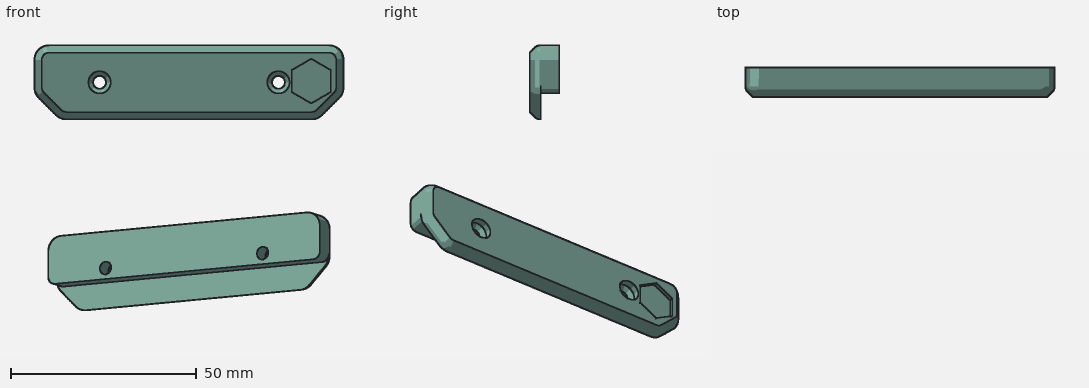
import cadquery as cq

LENGTH = 83.2
DEPTH = 8.0
HEIGHT = 20.0

PLATE_THICKNESS = 3.0
CORNER_CUT = 7.0
CORNER_RADIUS = 4.0

BEVEL = 2.0
BEVEL_BLEND_RADIUS = 2.0
MARGIN = 0.1

BLOCK_BOTTOM = 7.0
BLOCK_LOWER_RADIUS = 2.0

HOLE_SPACING = 48.1
HOLE_HEIGHT = HEIGHT / 2
HOLE_DIAMETER = 3.4
HEAD_DIAMETER = 6.0
HEAD_RECESS_DEPTH = 2.0
CONE_DEPTH = (HEAD_DIAMETER - HOLE_DIAMETER) / 2

HEX_CENTER_X = 32.9
HEX_CENTER_Z = 10.3
HEX_CORNER_DIAMETER = 12.0
HEX_DEPTH = 1.0


def front_plate():
    """Plate with rounded upper corners, cut lower corners and a bevelled front."""
    half = LENGTH / 2
    outline = [
        (-half + CORNER_CUT, 0),
        (half - CORNER_CUT, 0),
        (half, CORNER_CUT),
        (half, HEIGHT),
        (-half, HEIGHT),
        (-half, CORNER_CUT),
    ]
    plate = cq.Workplane("XZ").polyline(outline).close().extrude(-PLATE_THICKNESS)
    plate = plate.edges("|Y").fillet(CORNER_RADIUS)
    plate = plate.faces("<Y").chamfer(BEVEL)
    bevel_start = cq.selectors.BoxSelector(
        (-LENGTH, BEVEL - MARGIN, -HEIGHT), (LENGTH, BEVEL + MARGIN, 2 * HEIGHT)
    )
    return plate.edges(bevel_start).fillet(BEVEL_BLEND_RADIUS)


def rear_block():
    """Full-length block that continues the plate's upper part to the back."""
    block = (
        cq.Workplane("XY")
        .box(LENGTH, DEPTH - PLATE_THICKNESS, HEIGHT - BLOCK_BOTTOM, centered=(True, False, False))
        .translate((0, PLATE_THICKNESS, BLOCK_BOTTOM))
    )
    block = block.edges("|Y and >Z").fillet(CORNER_RADIUS)
    return block.edges("|Y and <Z").fillet(BLOCK_LOWER_RADIUS)


def screw_cutter(x):
    """Solid of revolution shaped like the screw, with its axis along Y at the given X."""
    hole_radius = HOLE_DIAMETER / 2
    head_radius = HEAD_DIAMETER / 2
    cone_end = HEAD_RECESS_DEPTH + CONE_DEPTH
    half_section = [
        (0, 0),
        (head_radius, 0),
        (head_radius, HEAD_RECESS_DEPTH),
        (hole_radius, cone_end),
        (hole_radius, DEPTH),
        (0, DEPTH),
    ]
    cutter = cq.Workplane("XY").polyline(half_section).close().revolve(360, (0, 0), (0, 1))
    return cutter.translate((x, 0, HOLE_HEIGHT))


def cut_screw_holes(body):
    """Cut the two screw holes, placed symmetrically about the middle."""
    for side in (-1, 1):
        body = body.cut(screw_cutter(side * HOLE_SPACING / 2))
    return body


def cut_hex_recess(body):
    """Sink the shallow hexagon into the front face."""
    recess = (
        cq.Workplane("XZ")
        .center(HEX_CENTER_X, HEX_CENTER_Z)
        .transformed(rotate=(0, 0, 90))
        .polygon(6, HEX_CORNER_DIAMETER)
        .extrude(-HEX_DEPTH)
    )
    return body.cut(recess)


result = front_plate().union(rear_block())
result = cut_screw_holes(result)
result = cut_hex_recess(result)